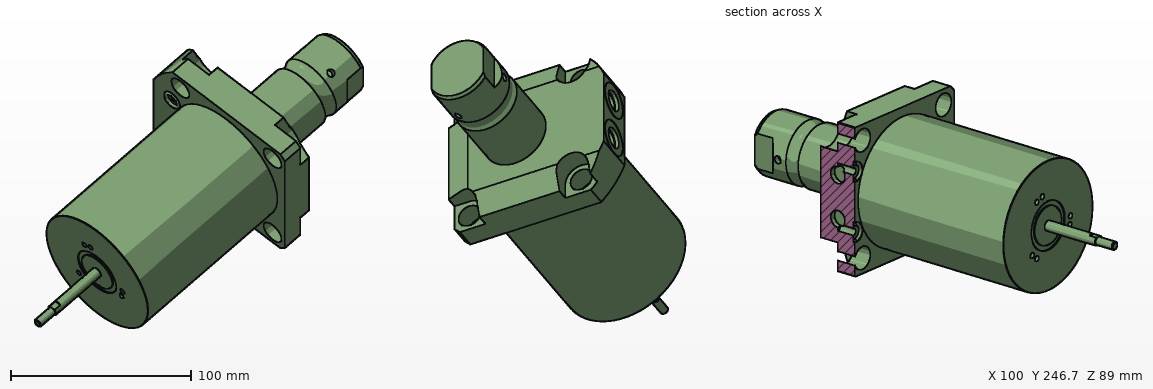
import cadquery as cq
import math


flange_left = 55.5
flange_right = 44.5
flange_half_height = 44.5
flange_corner_radius = 60.5
flange_thickness = 25.0
bevel_width = 14.8
bevel_angle = 20.0
bevel_depth = bevel_width * math.tan(math.radians(bevel_angle))

bolt_offset = 35.0
bolt_diameter = 13.5
bolt_pocket_diameter = 20.0
bolt_pocket_radius = bolt_pocket_diameter / 2
bolt_pocket_floor = 12.5
pocket_reach = 29.5

drum_radius = 38.7
drum_length = 104.8
drum_edge_chamfer = 0.2

face_groove_outer_radius = 14.5
face_groove_inner_radius = 11.5
face_groove_depth = 0.7
face_hole_circle_diameter = 38.7
face_hole_circle_radius = face_hole_circle_diameter / 2
face_hole_diameter = 3.2
face_hole_depth = 2.5
face_hole_pairs = 3
holes_per_pair = 2
face_hole_pair_angle = 15.0

neck_diameter = 38.7
neck_radius = neck_diameter / 2
neck_end = 93.5
neck_chamfer_length = 2.2
neck_chamfer_height = 1.0
neck_groove_start = 59.5
neck_groove_end = 68.3
neck_groove_diameter = 35.8
neck_groove_radius = neck_groove_diameter / 2
neck_flat_offset = 16.3
neck_flat_start = 80.5
neck_flat_run_out = neck_radius - neck_flat_offset
neck_hole_position = 74.2
neck_hole_diameter = 4.5
neck_hole_depth = 3.7
neck_hole_count = 3

overall_length = 246.7
shaft_end = overall_length - neck_end
shaft_diameter = 6.2
shaft_radius = shaft_diameter / 2
shaft_shoulder = 141.0
shaft_tip_radius = 2.5
shaft_tip_chamfer = 0.5
shaft_flat_offset = 2.5
shaft_flat_start = 136.5

port_height = 13.0
port_position = flange_thickness / 2
port_spotface_diameter = 21.2
port_spotface_depth = 0.2
port_diameter = 12.3
port_thread_depth = 2.5
port_bore_diameter = 9.9
port_depth = 17.3

outlet_x = -41.2
outlet_height = 18.0
ring_tube_diameter = 2.2
ring_tube_radius = ring_tube_diameter / 2
ring_centre_diameter = 9.5
ring_centre_radius = ring_centre_diameter / 2
ring_protrusion = 1.0
seat_radius = ring_centre_radius + ring_tube_radius
seat_depth = ring_tube_diameter - ring_protrusion
outlet_bore_radius = 2.0


def rod(x, z, start, end, radius):
    """Cylinder parallel to Y."""
    return cq.Workplane(
        cq.Solid.makeCylinder(radius, end - start, cq.Vector(x, start, z), cq.Vector(0, 1, 0))
    )


def block(x_min, x_max, y_min, y_max, z_min, z_max):
    """Box given by its limits."""
    size = (x_max - x_min, y_max - y_min, z_max - z_min)
    return cq.Workplane().box(*size, centered=False).translate((x_min, y_min, z_min))


def make_bevel_wedge():
    """Wedge that bevels the top back edge of the flange."""
    return (
        cq.Workplane("YZ", origin=(-flange_corner_radius, 0, 0))
        .moveTo(flange_thickness, flange_half_height - bevel_width)
        .lineTo(flange_thickness, flange_half_height)
        .lineTo(flange_thickness - bevel_depth, flange_half_height)
        .close()
        .extrude(2 * flange_corner_radius)
    )


def make_bolt_pocket(side_x, side_z):
    """Bolt head pocket in the flange back, open to the top or bottom; on +X also to the side."""
    top = flange_thickness
    floor = bolt_pocket_floor
    radius = bolt_pocket_radius
    x, z = side_x * bolt_offset, bolt_offset
    pocket = rod(x, z, floor, top, radius)
    pocket = pocket.union(block(x - radius, x + radius, floor, top, z, z + pocket_reach))
    if side_x > 0:
        pocket = pocket.union(block(x, x + pocket_reach, floor, top, z - radius, z + pocket_reach))
    return pocket if side_z > 0 else pocket.mirror("XY")


def make_flange():
    """Rounded rectangular plate with bevelled back edges, bolt holes and bolt pockets."""
    flange = block(
        -flange_left, flange_right, 0, flange_thickness, -flange_half_height, flange_half_height
    )
    flange = flange.intersect(rod(0, 0, 0, flange_thickness, flange_corner_radius))
    wedge = make_bevel_wedge()
    for turn in (0, 90, 180):
        flange = flange.cut(wedge.rotate((0, 0, 0), (0, 1, 0), turn))
    for side_x in (-1, 1):
        for side_z in (-1, 1):
            x, z = side_x * bolt_offset, side_z * bolt_offset
            flange = flange.cut(make_bolt_pocket(side_x, side_z))
            flange = flange.cut(rod(x, z, 0, flange_thickness, bolt_diameter / 2))
    return flange


def cut_coolant_passages(body):
    """Threaded ports from the -X face, each meeting an outlet bore from the seating face."""
    port_steps = [
        (port_spotface_diameter, port_spotface_depth),
        (port_diameter, port_thread_depth),
        (port_bore_diameter, port_depth),
    ]
    for side in (-1, 1):
        start = cq.Vector(-flange_left, port_position, side * port_height)
        for diameter, depth in port_steps:
            bore = cq.Solid.makeCylinder(diameter / 2, depth, start, cq.Vector(1, 0, 0))
            body = body.cut(cq.Workplane(bore))
        z = side * outlet_height
        body = body.cut(rod(outlet_x, z, 0, seat_depth, seat_radius))
        body = body.cut(rod(outlet_x, z, 0, port_position, outlet_bore_radius))
    return body


def make_drum():
    """Large cylinder with a shallow ring groove and pairs of small holes in its end face."""
    drum = rod(0, 0, -drum_length, 0, drum_radius).faces("<Y").chamfer(drum_edge_chamfer)
    groove_floor = face_groove_depth - drum_length
    groove = rod(0, 0, -drum_length, groove_floor, face_groove_outer_radius)
    groove = groove.cut(rod(0, 0, -drum_length, groove_floor, face_groove_inner_radius))
    drum = drum.cut(groove)
    hole_end = face_hole_depth - drum_length
    for pair in range(face_hole_pairs):
        for step in range(holes_per_pair):
            angle = math.radians(pair * 360 / face_hole_pairs - step * face_hole_pair_angle)
            x = face_hole_circle_radius * math.cos(angle)
            z = face_hole_circle_radius * math.sin(angle)
            drum = drum.cut(rod(x, z, -drum_length, hole_end, face_hole_diameter / 2))
    return drum


def make_neck():
    """Stub with a rounded groove, two wrench flats and radial holes."""
    groove_middle = (neck_groove_start + neck_groove_end) / 2
    neck = (
        cq.Workplane("XY")
        .moveTo(0, flange_thickness)
        .lineTo(neck_radius, flange_thickness)
        .lineTo(neck_radius, neck_groove_start)
        .threePointArc((neck_groove_radius, groove_middle), (neck_radius, neck_groove_end))
        .lineTo(neck_radius, neck_end - neck_chamfer_length)
        .lineTo(neck_radius - neck_chamfer_height, neck_end)
        .lineTo(0, neck_end)
        .close()
        .revolve(360, (0, 0, 0), (0, 1, 0))
    )
    flat = (
        cq.Workplane("XY", origin=(0, 0, -neck_radius))
        .moveTo(neck_flat_offset, neck_end)
        .lineTo(neck_flat_offset, neck_flat_start)
        .lineTo(neck_radius, neck_flat_start - neck_flat_run_out)
        .lineTo(neck_radius, neck_end)
        .close()
        .extrude(2 * neck_radius)
    )
    neck = neck.cut(flat).cut(flat.mirror("YZ"))
    for index in range(neck_hole_count):
        angle = math.radians(180 + index * 360 / neck_hole_count)
        outward = cq.Vector(math.cos(angle), 0, math.sin(angle))
        start = outward * neck_radius + cq.Vector(0, neck_hole_position, 0)
        hole = cq.Solid.makeCylinder(neck_hole_diameter / 2, neck_hole_depth, start, outward * -1)
        neck = neck.cut(cq.Workplane(hole))
    return neck


def make_shaft():
    """Thin shaft with two flats at its shoulder and a narrower chamfered tip."""
    tip = rod(0, 0, -shaft_end, -shaft_shoulder, shaft_tip_radius)
    tip = tip.faces("<Y").chamfer(shaft_tip_chamfer)
    shaft = rod(0, 0, -shaft_shoulder, -drum_length, shaft_radius)
    flat = block(
        -shaft_radius, shaft_radius, -shaft_shoulder, -shaft_flat_start, shaft_flat_offset, shaft_radius
    )
    shaft = shaft.cut(flat).cut(flat.mirror("XY"))
    return shaft.union(tip)


def make_housing():
    """Flange, drum, neck and shaft as one solid."""
    flange = cut_coolant_passages(make_flange())
    return flange.union(make_drum()).union(make_neck()).union(make_shaft())


def make_o_ring(z):
    """O-ring resting on the floor of its seat and standing proud of the seating face."""
    centre = cq.Vector(outlet_x, seat_depth - ring_tube_radius, z)
    return cq.Solid.makeTorus(ring_centre_radius, ring_tube_radius, centre, cq.Vector(0, 1, 0))


housing = make_housing()
o_rings = [make_o_ring(side * outlet_height) for side in (-1, 1)]

result = cq.Compound.makeCompound([housing.val(), *o_rings])